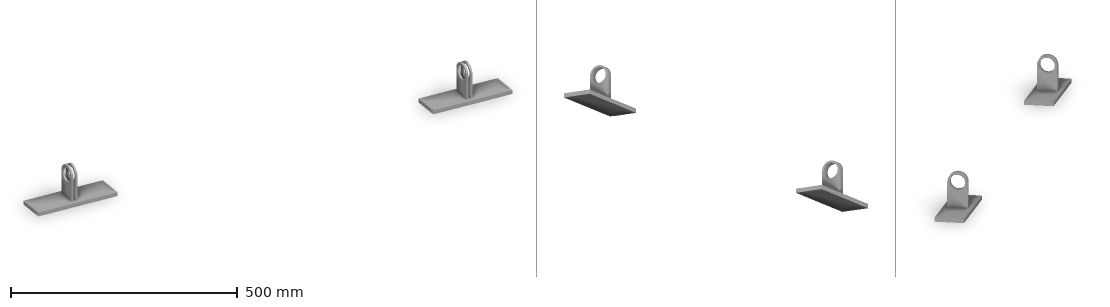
import cadquery as cq

overall_length = 1201.0
overall_height = 90.0

plate_width = 66.0
plate_length = 200.0
plate_thickness = 10.0

notch_radius = 2.0
notch_x = 28.0

lug_thickness = 5.0
lug_gap = 5.4
lug_shift = -2.6
bore_diameter = 35.0
bore_wall = 5.2

lug_radius = bore_diameter / 2 + bore_wall
bore_height = overall_height - lug_radius
lug_offset = (lug_gap + lug_thickness) / 2
bracket_offset = (overall_length - plate_length) / 2


def make_plate():
    """Flat base plate resting on Z = 0, with a half-round notch through its -Y edge."""
    plate = cq.Workplane("XY").box(plate_width, plate_length, plate_thickness, centered=(True, True, False))
    notch = (
        cq.Workplane("XY")
        .center(notch_x, -plate_length / 2)
        .circle(notch_radius)
        .extrude(plate_thickness)
    )
    return plate.cut(notch)


def make_lug(center_y):
    """Upright round-topped lug with a cross bore, rising from the plate top."""
    return (
        cq.Workplane("XZ", origin=(0, center_y + lug_thickness / 2, 0))
        .moveTo(-lug_radius, plate_thickness)
        .lineTo(lug_radius, plate_thickness)
        .lineTo(lug_radius, bore_height)
        .threePointArc((0, overall_height), (-lug_radius, bore_height))
        .close()
        .moveTo(0, bore_height)
        .circle(bore_diameter / 2)
        .extrude(lug_thickness)
    )


def make_bracket(center_y):
    """One clevis bracket: a plate and its two lugs as a single solid."""
    bracket = make_plate()
    for side in (-1, 1):
        bracket = bracket.union(make_lug(lug_shift + side * lug_offset))
    return bracket.translate((0, center_y, 0))


brackets = []
for end in (-1, 1):
    brackets.append(make_bracket(end * bracket_offset).val())

result = cq.Compound.makeCompound(brackets)